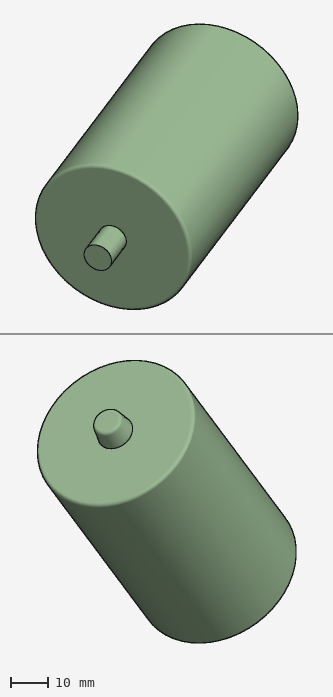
import cadquery as cq

total_length = 89.5
can_diameter = 46.0
stud_diameter = 8.05
stud_length = 10.0
can_rim_fillet = 1.0
boss_height = 6.0
boss_base_diameter = 10.1
boss_tip_diameter = 8.05
boss_edge_fillet = 1.0

can_length = total_length - stud_length - boss_height
can_front = -total_length / 2 + stud_length
can_back = can_front + can_length


def plane_along_y(y):
    """Plane facing +Y, centred on the axis at the given Y."""
    return cq.Plane(origin=(0, y, 0), xDir=(1, 0, 0), normal=(0, 1, 0))


def make_can():
    """Cylindrical can with rounded rims and a tapered boss on its back face."""
    can = (
        cq.Workplane(plane_along_y(can_front))
        .circle(can_diameter / 2)
        .extrude(can_length)
        .edges()
        .fillet(can_rim_fillet)
    )
    boss = (
        cq.Workplane(plane_along_y(can_back))
        .circle(boss_base_diameter / 2)
        .workplane(offset=boss_height)
        .circle(boss_tip_diameter / 2)
        .loft()
        .faces(">Y")
        .edges()
        .fillet(boss_edge_fillet)
    )
    return can.union(boss)


def make_stud():
    """Plain round stud standing on the front face of the can."""
    return (
        cq.Workplane(plane_along_y(can_front - stud_length))
        .circle(stud_diameter / 2)
        .extrude(stud_length)
    )


can = make_can()
stud = make_stud()

result = cq.Compound.makeCompound([can.val(), stud.val()])